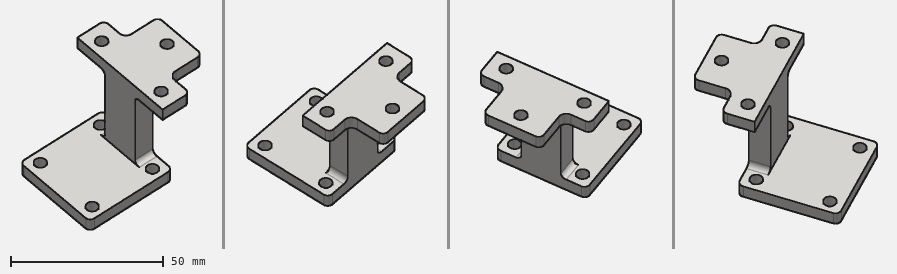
import cadquery as cq

total_depth = 54.25
total_height = 42.0
plate_thickness = 5.0
corner_radius = 2.0
hole_diameter = 4.45

base_width = 34.95
base_depth = 35.9
base_hole_spacing = 26.05
base_hole_margin = 5.0

bar_width = 42.8
bar_depth = 11.7
tongue_width = 22.1
tongue_corner_radius = 2.8
bar_hole_spacing = 29.85
bar_hole_margin = 5.0
tongue_hole_margin = 5.65

column_width = 15.15
column_depth = 7.7
column_fillet = 2.0

column_front = base_depth - column_depth
top_plate_bottom = total_height - plate_thickness


def block(width, depth, height, front, bottom):
    """Box centred on X, with its front face and bottom face at the given places."""
    return (
        cq.Workplane("XY")
        .box(width, depth, height, centered=(True, False, False))
        .translate((0, front, bottom))
    )


def drill_plate(plate, bottom, points):
    """Cut vertical through holes in a plate."""
    holes = (
        cq.Workplane("XY", origin=(0, 0, bottom))
        .pushPoints(points)
        .circle(hole_diameter / 2)
        .extrude(plate_thickness)
    )
    return plate.cut(holes)


def make_base():
    plate = block(base_width, base_depth, plate_thickness, 0, 0)
    plate = plate.edges("|Z").fillet(corner_radius)
    half_spacing = base_hole_spacing / 2
    points = [
        (x, y)
        for x in (-half_spacing, half_spacing)
        for y in (base_hole_margin, base_hole_margin + base_hole_spacing)
    ]
    return drill_plate(plate, 0, points)


def make_top_plate():
    bar = block(bar_width, bar_depth, plate_thickness, column_front, top_plate_bottom)
    bar = bar.edges("|Z and >Y").fillet(corner_radius)
    tongue_depth = total_depth - column_front
    tongue = block(tongue_width, tongue_depth, plate_thickness, column_front, top_plate_bottom)
    tongue = tongue.edges("|Z and >Y").fillet(corner_radius)
    plate = bar.union(tongue)

    shoulder = column_front + bar_depth
    for side in (-1, 1):
        inner_corner = (side * tongue_width / 2, shoulder, total_height - plate_thickness / 2)
        plate = plate.edges(cq.NearestToPointSelector(inner_corner)).fillet(tongue_corner_radius)

    half_spacing = bar_hole_spacing / 2
    bar_hole_y = column_front + bar_hole_margin
    points = [
        (-half_spacing, bar_hole_y),
        (half_spacing, bar_hole_y),
        (0, total_depth - tongue_hole_margin),
    ]
    return drill_plate(plate, top_plate_bottom, points)


def join_with_column(base, top_plate):
    """Join both plates with the column and round its sides into them."""
    column_height = top_plate_bottom - plate_thickness
    column = block(column_width, column_depth, column_height, column_front, plate_thickness)
    bracket = base.union(column).union(top_plate)
    middle_y = column_front + column_depth / 2
    for side in (-1, 1):
        for z in (plate_thickness, top_plate_bottom):
            joint = (side * column_width / 2, middle_y, z)
            bracket = bracket.edges(cq.NearestToPointSelector(joint)).fillet(column_fillet)
    return bracket


result = join_with_column(make_base(), make_top_plate())